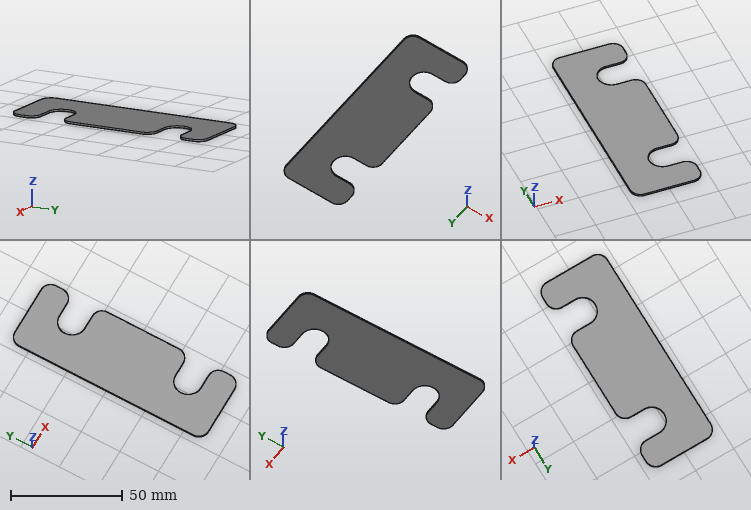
import cadquery as cq

width = 34.0
length = 100.0
thickness = 1.0
corner_radius = 5.0

slot_width = 13.0
slot_depth = 18.5
slot_spacing = 60.0

right_edge = width / 2
slot_radius = slot_width / 2
slot_arc_x = right_edge - slot_depth + slot_radius


def slot_cutter(center_y):
    """Round-ended slot that runs out through the +X edge."""
    round_end = (
        cq.Workplane("XY")
        .center(slot_arc_x, center_y)
        .circle(slot_radius)
        .extrude(thickness)
    )
    straight_run = (
        cq.Workplane("XY")
        .box(slot_depth, slot_width, thickness, centered=(False, True, False))
        .translate((slot_arc_x, center_y, 0))
    )
    return round_end.union(straight_run)


plate = cq.Workplane("XY").box(width, length, thickness, centered=(True, True, False))
for side in (-1, 1):
    plate = plate.cut(slot_cutter(side * slot_spacing / 2))

mouth_edges = plate.faces(">X").edges("|Z")
left_edges = plate.faces("<X").edges("|Z")
result = plate.newObject(mouth_edges.vals() + left_edges.vals()).fillet(corner_radius)